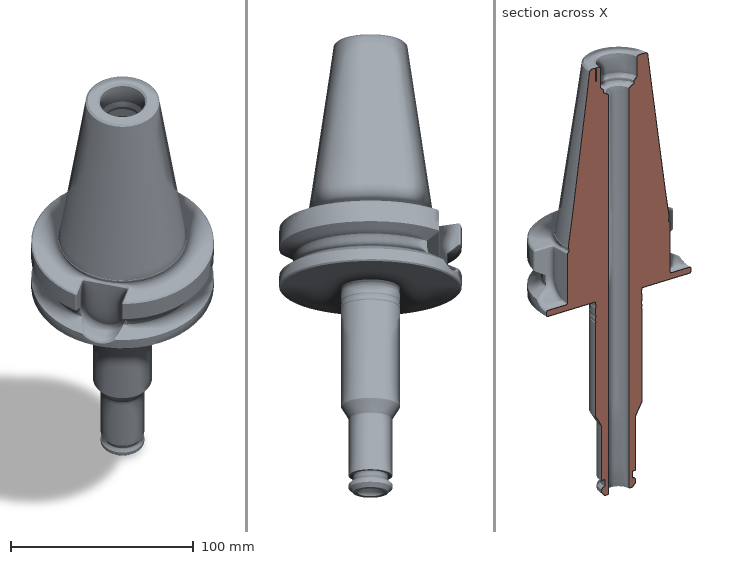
import cadquery as cq
import math

total_length = 257.3
nose_length = 117.3
top_z = total_length - nose_length

gauge_diameter = 70.0
taper_ratio = 7 / 24
gauge_z = 37.5
top_diameter = gauge_diameter - taper_ratio * (top_z - gauge_z)
top_chamfer = 1.0

collar_diameter = 70.5
collar_height = 0.8
neck_diameter = 69.0
neck_fillet = 0.5

flange_diameter = 100.0
flange_height = 34.7
flange_chamfer = 0.8
groove_diameter = 85.0
groove_bottom_z = 11.5
groove_top_z = 18.0
flank_height = 4.6

slot_width = 25.7
slot_floor_y = 35.5
slot_bottom_z = 3.9
slot_floor_fillet = 0.8

body_diameter = 32.5
ring_groove_diameter = 32.0
ring_groove_wall = 0.5
ring_grooves = [(0.8, 2.8), (7.5, 2.3), (11.0, 1.3)]
cone_top_height = 49.1
cone_bottom_height = 42.2
pilot_diameter = 24.0
pilot_bottom_height = 9.5
tip_neck_diameter = 19.5
tip_ring_diameter = pilot_diameter
tip_ring_height = 5.7
tip_ring_top_chamfer = 1.3
tip_ring_bottom_chamfer = 2.3

mouth_diameter = 25.0
mouth_chamfer = 1.0
mouth_depth = 12.5
inner_diameter = 20.8
inner_depth = 16.2
through_diameter = 14.0
drill_point_angle = 120


def revolve_profile(profile):
    return profile.close().revolve(360, (0, 0), (0, 1))


def make_body():
    tip_z = -nose_length
    flange_r = flange_diameter / 2
    groove_r = groove_diameter / 2
    pilot_r = pilot_diameter / 2
    neck_r = tip_neck_diameter / 2
    ring_r = tip_ring_diameter / 2
    ring_top_z = tip_z + tip_ring_height
    pilot_bottom_z = tip_z + pilot_bottom_height
    collar_bottom_z = gauge_z - collar_height
    shank_neck_r = neck_diameter / 2
    neck_foot_r = shank_neck_r + neck_fillet
    fillet_inset = neck_fillet * (1 - math.sqrt(0.5))
    chamfer_top_r = top_diameter / 2 + taper_ratio / 2 * top_chamfer
    lower_points = [
        (0, tip_z),
        (ring_r - tip_ring_bottom_chamfer, tip_z),
        (ring_r, tip_z + tip_ring_bottom_chamfer),
        (ring_r, ring_top_z - tip_ring_top_chamfer),
        (ring_r - tip_ring_top_chamfer, ring_top_z),
        (neck_r, ring_top_z),
        (neck_r, pilot_bottom_z),
        (pilot_r, pilot_bottom_z),
        (pilot_r, tip_z + cone_bottom_height),
        (body_diameter / 2, tip_z + cone_top_height),
        (body_diameter / 2, 0),
        (flange_r - flange_chamfer, 0),
        (flange_r, flange_chamfer),
        (flange_r, groove_bottom_z - flank_height),
        (groove_r, groove_bottom_z),
        (groove_r, groove_top_z),
        (flange_r, groove_top_z + flank_height),
        (flange_r, flange_height),
        (neck_foot_r, flange_height),
    ]
    taper_points = [
        (shank_neck_r, collar_bottom_z),
        (collar_diameter / 2, collar_bottom_z),
        (collar_diameter / 2, gauge_z),
        (gauge_diameter / 2, gauge_z),
        (chamfer_top_r, top_z - top_chamfer),
        (top_diameter / 2 - top_chamfer, top_z),
        (0, top_z),
    ]
    profile = (
        cq.Workplane("XZ")
        .polyline(lower_points)
        .threePointArc(
            (shank_neck_r + fillet_inset, flange_height + fillet_inset),
            (shank_neck_r, flange_height + neck_fillet),
        )
    )
    for point in taper_points:
        profile = profile.lineTo(*point)
    return revolve_profile(profile)


def make_ring_groove(depth_below_flange, height):
    """Ring cutter with sloping side walls."""
    top_z = -depth_below_flange
    bottom_z = top_z - height
    floor_r = ring_groove_diameter / 2
    outer_r = body_diameter / 2
    profile = cq.Workplane("XZ").polyline([
        (outer_r, top_z),
        (floor_r, top_z - ring_groove_wall),
        (floor_r, bottom_z + ring_groove_wall),
        (outer_r, bottom_z),
    ])
    return revolve_profile(profile)


def make_drive_slot(side):
    slot_r = slot_width / 2
    arc_z = slot_bottom_z + slot_r
    depth = flange_diameter / 2 - slot_floor_y
    cutter = (
        cq.Workplane("XZ", origin=(0, side * slot_floor_y, 0))
        .moveTo(-slot_r, flange_height)
        .lineTo(-slot_r, arc_z)
        .threePointArc((0, slot_bottom_z), (slot_r, arc_z))
        .lineTo(slot_r, flange_height)
        .close()
        .extrude(-side * depth)
    )
    floor_side = "<Y" if side > 0 else ">Y"
    return cutter.faces(floor_side).edges("not >Z").fillet(slot_floor_fillet)


edge_tolerance = 0.03


def is_slot_edge(edge):
    """Slot edges on the flange top and on the flange's outer cylinder."""
    middle = edge.positionAt(0.5)
    on_top = abs(middle.z - flange_height) < edge_tolerance
    on_outside = abs(math.hypot(middle.x, middle.y) - flange_diameter / 2) < edge_tolerance
    on_wall = abs(abs(middle.x) - slot_width / 2) < edge_tolerance
    in_slot = abs(middle.x) < slot_width / 2 + edge_tolerance and abs(middle.y) > slot_floor_y
    on_lower_arc = in_slot and on_outside and slot_bottom_z - edge_tolerance < middle.z < groove_bottom_z
    return (on_wall and (on_top or on_outside)) or on_lower_arc


def is_top_rim(edge):
    middle = edge.positionAt(0.5)
    radius = math.hypot(middle.x, middle.y)
    return abs(middle.z - flange_height) < edge_tolerance and abs(radius - flange_diameter / 2) < edge_tolerance


def chamfer_flange_edges(body):
    solid = body.val()
    edges = [edge for edge in solid.Edges() if is_slot_edge(edge) or is_top_rim(edge)]
    return cq.Workplane(solid.chamfer(flange_chamfer, None, edges))


def make_bore():
    mouth_r = mouth_diameter / 2
    inner_r = inner_diameter / 2
    through_r = through_diameter / 2
    mouth_step = mouth_r - inner_r
    inner_step = (inner_r - through_r) / math.tan(math.radians(drill_point_angle / 2))
    profile = cq.Workplane("XZ").polyline([
        (0, top_z),
        (mouth_r + mouth_chamfer, top_z),
        (mouth_r, top_z - mouth_chamfer),
        (mouth_r, top_z - mouth_depth),
        (inner_r, top_z - mouth_depth - mouth_step),
        (inner_r, top_z - inner_depth),
        (through_r, top_z - inner_depth - inner_step),
        (through_r, -nose_length),
        (0, -nose_length),
    ])
    return revolve_profile(profile)


result = make_body()
for groove_depth, groove_height in ring_grooves:
    result = result.cut(make_ring_groove(groove_depth, groove_height))
for slot_side in (-1, 1):
    result = result.cut(make_drive_slot(slot_side))
result = chamfer_flange_edges(result)
result = result.cut(make_bore())
result = cq.Workplane(result.solids().val())